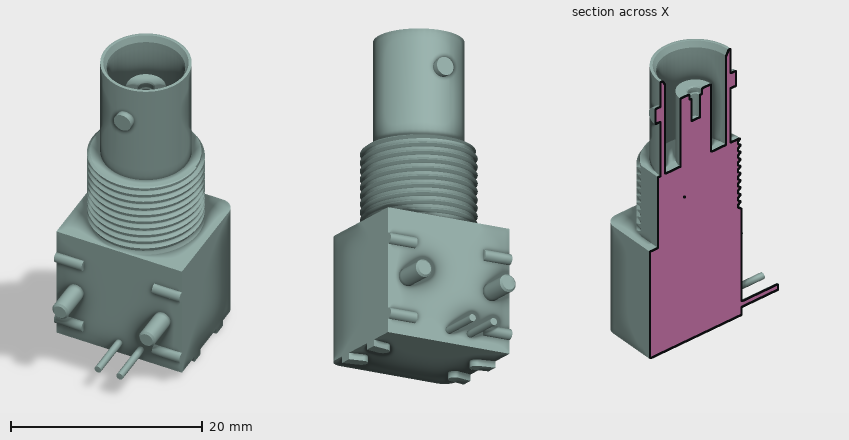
import cadquery as cq
import math

foot_height = 0.7
housing_top = 14.45
collar_top = 23.5
barrel_top = 35.5

housing_width = 14.7
housing_half_depth = 6.25
housing_corner_radius = 1.5

foot_radius = 0.7
foot_start_x = 8.88
foot_start_y = 2.88
foot_end_x = 5.65
foot_end_y = 2.27

thread_root_radius = 5.82
thread_crest_radius = 6.18
turns_on_collar = 10
thread_pitch = (collar_top - housing_top) / turns_on_collar
thread_base_width = 0.57
thread_turns = turns_on_collar + 1
thread_top_at_plus_x = 23.68
collar_flat_y = 5.15
collar_rim_radius = 5.85
collar_bevel_height = 0.2
crest_clearance = 0.2
root_overlap = 0.1

barrel_radius = 4.8
bore_radius = 4.12
bore_lead_in_radius = 4.47
bore_lead_in_depth = 0.65
insulator_radius = 2.1
insulator_top = 32.2
contact_hole_radius = 0.8
contact_hole_chamfer = 0.15
contact_top = 31.5
contact_bore_radius = 0.55
contact_bore_depth = 2.85

lug_radius = 1.0
lug_tip_y = 5.5
lug_z = 31.38

rib_length = 3.23
rib_radius = 0.6
upper_rib_z = 11.05
lower_rib_z = 2.8

peg_radius = 0.95
peg_x = 5.08
peg_z = 7.1
peg_tip_y = -10.0
peg_chamfer = 0.2
pin_radius = 0.4
pin_spacing = 2.55
pin_z = 2.1
pin_tip_y = -11.22


def cylinder(radius, bottom, top):
    """Solid cylinder on the Z axis between two heights."""
    return cq.Workplane("XY").workplane(offset=bottom).circle(radius).extrude(top - bottom)


def cylinder_along_y(radius, x, z, start_y, end_y):
    """Solid cylinder parallel to Y, running from start_y down to end_y."""
    return (
        cq.Workplane("XZ", origin=(x, start_y, z))
        .circle(radius)
        .extrude(start_y - end_y)
    )


def make_housing():
    return (
        cq.Workplane("XY")
        .workplane(offset=foot_height)
        .rect(housing_width, 2 * housing_half_depth)
        .extrude(housing_top - foot_height)
        .edges("|Z and >Y")
        .fillet(housing_corner_radius)
    )


def make_foot(side_x, side_y):
    start = (side_x * foot_start_x, side_y * foot_start_y)
    end = (side_x * foot_end_x, side_y * foot_end_y)
    middle = ((start[0] + end[0]) / 2, (start[1] + end[1]) / 2)
    lean = math.degrees(math.atan2(end[1] - start[1], end[0] - start[0]))
    bar = (
        cq.Workplane("XY")
        .center(*middle)
        .slot2D(math.dist(start, end) + 2 * foot_radius, 2 * foot_radius, lean)
        .extrude(foot_height)
    )
    inside_housing = cq.Workplane("XY").rect(housing_width, 2 * housing_half_depth).extrude(foot_height)
    return bar.intersect(inside_housing)


def make_thread():
    """Helical V ridge, running on into the housing below and past the collar top above."""
    height = thread_turns * thread_pitch
    inner_radius = thread_root_radius - root_overlap
    ridge_depth = thread_crest_radius - thread_root_radius
    root_half_width = thread_base_width / 2 * (1 + root_overlap / ridge_depth)

    def helix(radius, rise):
        return cq.Wire.makeHelix(thread_pitch, height, radius).translate(cq.Vector(0, 0, rise))

    lower_root = helix(inner_radius, -root_half_width)
    upper_root = helix(inner_radius, root_half_width)
    crest = helix(thread_crest_radius, 0)
    lines = [lower_root, crest, upper_root]
    next_lines = [crest, upper_root, lower_root]
    sides = [cq.Face.makeRuledSurface(line, next_line) for line, next_line in zip(lines, next_lines)]
    ends = []
    for place in (0, 1):
        corners = [line.positionAt(place) for line in lines]
        ends.append(cq.Face.makeFromWires(cq.Wire.makePolygon(corners, close=True)))
    ridge = cq.Solid.makeSolid(cq.Shell.makeShell(sides + ends))
    return cq.Workplane(ridge).translate((0, 0, thread_top_at_plus_x - height))


def make_collar():
    core = cylinder(thread_root_radius, housing_top, collar_top)
    thread = make_thread()
    envelope_radius = thread_crest_radius + crest_clearance
    envelope = (
        cylinder(envelope_radius, housing_top, collar_top)
        .faces(">Z")
        .chamfer(collar_bevel_height, envelope_radius - collar_rim_radius)
    )
    beyond_flat = (
        cq.Workplane("XY")
        .workplane(offset=housing_top)
        .center(0, collar_flat_y + envelope_radius)
        .rect(2 * envelope_radius, 2 * envelope_radius)
        .extrude(collar_top - housing_top)
    )
    return core.union(thread).intersect(envelope.cut(beyond_flat))


def make_barrel():
    barrel = cylinder(barrel_radius, collar_top, barrel_top)
    lugs = cylinder_along_y(lug_radius, 0, lug_z, lug_tip_y, -lug_tip_y)
    bore = (
        cq.Workplane("XZ")
        .moveTo(0, collar_top)
        .lineTo(bore_radius, collar_top)
        .lineTo(bore_radius, barrel_top - bore_lead_in_depth)
        .lineTo(bore_lead_in_radius, barrel_top)
        .lineTo(0, barrel_top)
        .close()
        .revolve(360, (0, 0, 0), (0, 1, 0))
    )
    insulator = cylinder(insulator_radius, collar_top, insulator_top)
    contact_hole = cylinder(contact_hole_radius, contact_top, insulator_top)
    contact_bore = cylinder(contact_bore_radius, contact_top - contact_bore_depth, contact_top)
    insulator = insulator.cut(contact_hole)
    insulator = insulator.faces(">Z").edges("%CIRCLE").edges(cq.selectors.RadiusNthSelector(0))
    insulator = insulator.chamfer(contact_hole_chamfer).cut(contact_bore)
    return barrel.union(lugs).cut(bore).union(insulator)


def make_rib(side_x, z):
    """Half-round bar along X, flush with one side of the housing."""
    outer_x = side_x * housing_width / 2
    return (
        cq.Workplane("YZ", origin=(outer_x, -housing_half_depth, z))
        .circle(rib_radius)
        .extrude(-side_x * rib_length)
    )


def make_peg(side_x):
    peg = cylinder_along_y(peg_radius, side_x * peg_x, peg_z, -housing_half_depth, peg_tip_y)
    return peg.faces("<Y").chamfer(peg_chamfer)


result = make_housing().union(make_collar()).union(make_barrel())

for side_x in (-1, 1):
    for side_y in (-1, 1):
        result = result.union(make_foot(side_x, side_y))
    for rib_z in (lower_rib_z, upper_rib_z):
        result = result.union(make_rib(side_x, rib_z))
    result = result.union(make_peg(side_x))

for pin_x in (0, pin_spacing):
    pin = cylinder_along_y(pin_radius, pin_x, pin_z, -housing_half_depth, pin_tip_y)
    result = result.union(pin)